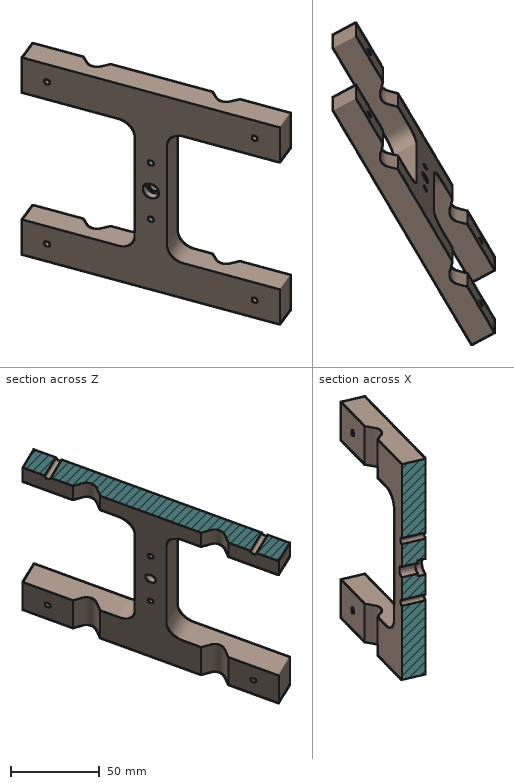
import cadquery as cq
import math

length = 160.0
height = 140.0
thickness = length * 3 / 32
arm_height = length * 5 / 32
web_width = length / 8
inner_radius = web_width / 2
corner_radius = 0.5

groove_spacing = length / 2
groove_radius = length * 3 / 80
groove_half_width = groove_radius * math.sqrt(2)

arm_hole_spacing_x = 128.5
arm_hole_spacing_z = height - arm_height
web_hole_spacing = length / 4
small_hole_diameter = 3.5
center_hole_diameter = 6.5
counterbore_diameter = 10.0
counterbore_depth = 5.0

front_face = -thickness / 2
back_face = thickness / 2


def block(size_x, size_z):
    return cq.Workplane("XY").box(size_x, thickness, size_z)


def make_body():
    """H-shaped plate: two round-cornered arms joined by a filleted web."""
    arm = block(length, arm_height).edges("|Y").fillet(corner_radius)
    body = block(web_width, height - arm_height)
    for side in (-1, 1):
        body = body.union(arm.translate((0, 0, side * (height - arm_height) / 2)))
    opening_height = height - 2 * arm_height
    inner_corners = cq.selectors.BoxSelector(
        (-web_width, -thickness, -opening_height / 2 - corner_radius),
        (web_width, thickness, opening_height / 2 + corner_radius),
    )
    return body.edges("|Y").edges(inner_corners).fillet(inner_radius)


def make_groove(x):
    """Right-angled V groove along Z, its rounded bottom centred on the back face."""
    return (
        cq.Workplane("XY", origin=(x, back_face, -height / 2))
        .moveTo(-groove_half_width, 0)
        .lineTo(0, -groove_half_width)
        .lineTo(groove_half_width, 0)
        .close()
        .extrude(height)
        .edges("|Z and <Y")
        .fillet(groove_radius)
    )


def make_hole(x, z, diameter, depth=thickness):
    """Round cutter entering from the front face."""
    return (
        cq.Workplane("XZ", origin=(x, front_face, z))
        .circle(diameter / 2)
        .extrude(-depth)
    )


result = make_body()

for side in (-1, 1):
    result = result.cut(make_groove(side * groove_spacing / 2))
    result = result.cut(make_hole(0, side * web_hole_spacing / 2, small_hole_diameter))
    for end in (-1, 1):
        hole_x = end * arm_hole_spacing_x / 2
        hole_z = side * arm_hole_spacing_z / 2
        result = result.cut(make_hole(hole_x, hole_z, small_hole_diameter))

result = result.cut(make_hole(0, 0, center_hole_diameter))
result = result.cut(make_hole(0, 0, counterbore_diameter, counterbore_depth))